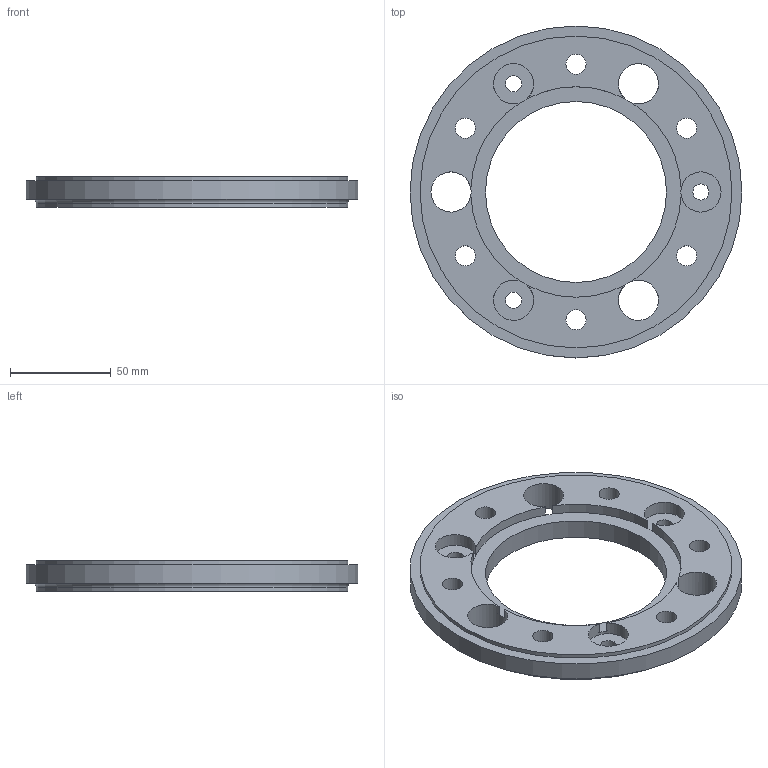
import cadquery as cq

total_height = 15.0
rim_diameter = 165.0
register_diameter = 155.0
rim_bottom = 4.0
rim_top = 13.0

register_fillet = 2.0

bore_diameter = 90.0
recess_diameter = 104.6
recess_depth = 5.0

main_circle_radius = 62.1
main_hole_count = 3
large_hole_diameter = 20.0
large_start_angle = 180.0
screw_hole_diameter = 8.0
screw_start_angle = 0.0
counterbore_diameter = large_hole_diameter
counterbore_depth = 6.5

small_circle_radius = 63.5
small_hole_diameter = 10.0
small_start_angle = 30.0
small_hole_count = 6


def ring_body():
    """Revolve the stepped half section, running from the bore out to the rim."""
    bore_radius = bore_diameter / 2
    register_radius = register_diameter / 2
    rim_radius = rim_diameter / 2
    section = (
        cq.Workplane("XZ")
        .moveTo(bore_radius, 0)
        .lineTo(register_radius, 0)
        .lineTo(register_radius, rim_bottom - register_fillet)
        .radiusArc((register_radius + register_fillet, rim_bottom), register_fillet)
        .lineTo(rim_radius, rim_bottom)
        .lineTo(rim_radius, rim_top)
        .lineTo(register_radius, rim_top)
        .lineTo(register_radius, total_height)
        .lineTo(bore_radius, total_height)
        .close()
    )
    return section.revolve(360, (0, 0), (0, 1))


def recess():
    """Disc that sinks the top face around the bore."""
    return (
        cq.Workplane("XY")
        .workplane(offset=total_height - recess_depth)
        .circle(recess_diameter / 2)
        .extrude(recess_depth)
    )


def hole_ring(circle_radius, start_angle, count, diameter, depth):
    """Evenly spaced cylinders around the axis, sunk from the top face."""
    return (
        cq.Workplane("XY")
        .workplane(offset=total_height - depth)
        .polarArray(circle_radius, start_angle, 360, count)
        .circle(diameter / 2)
        .extrude(depth)
    )


def large_holes():
    return hole_ring(
        main_circle_radius, large_start_angle, main_hole_count, large_hole_diameter, total_height
    )


def counterbored_holes():
    holes = hole_ring(
        main_circle_radius, screw_start_angle, main_hole_count, screw_hole_diameter, total_height
    )
    counterbores = hole_ring(
        main_circle_radius, screw_start_angle, main_hole_count, counterbore_diameter, counterbore_depth
    )
    return holes.union(counterbores)


def small_holes():
    return hole_ring(
        small_circle_radius, small_start_angle, small_hole_count, small_hole_diameter, total_height
    )


result = ring_body().cut(recess()).cut(large_holes()).cut(counterbored_holes()).cut(small_holes())